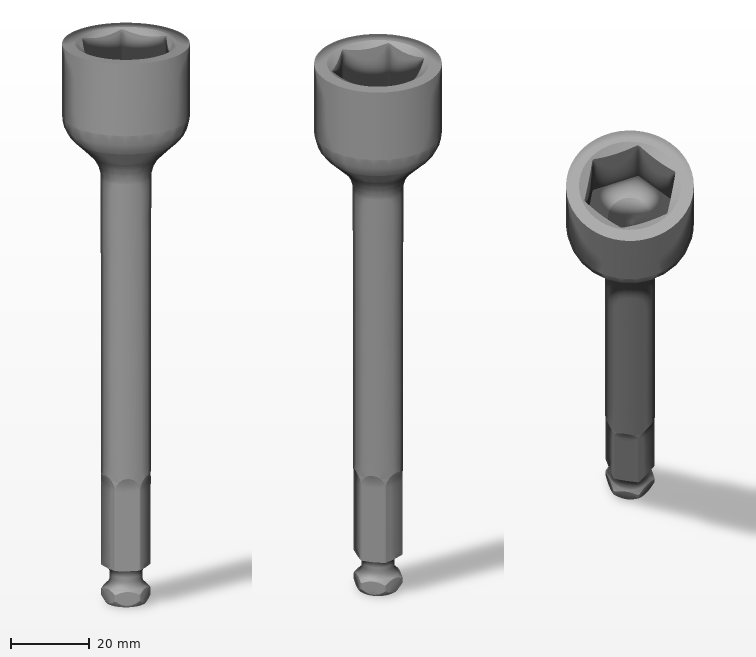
import cadquery as cq
import math

length = 150.0
head_radius = 32.5 / 2
shaft_radius = 12.9 / 2

groove_floor_bottom = 6.5
groove_floor_top = 7.8
hex_full_top = 31.4
neck_bottom = 114.3
cone_bottom = 119.8
cone_top = 124.8
head_bottom = 130.6

cone_bottom_radius = 8.7
cone_top_radius = 13.8

shank_flats = 11.1
shank_corner_radius = 12.6 / 2
groove_radius = 4.2
groove_fillet = shank_corner_radius - groove_radius
lower_fillet = 2.4
lower_fillet_turn = 60.0
tip_radius = 5.2
tip_chamfer_height = 1.6
runout_radius = 8.2

socket_flats = 21.5
socket_corner_fillet = 0.8
socket_depth = 15.9
countersink_radius = 26.0 / 2
countersink_angle = 30.0
drill_radius = 11.2 / 2
drill_point_angle = 118.0

diagonal = math.sqrt(0.5)


def fillet_midpoint(start, end, tangent_angle, turn_angle):
    """Middle of an arc leaving start at tangent_angle and turning by turn_angle (degrees)."""
    chord = math.dist(start, end)
    radius = chord / (2 * math.sin(math.radians(abs(turn_angle)) / 2))
    half_chord = 2 * radius * math.sin(math.radians(abs(turn_angle)) / 4)
    direction = math.radians(tangent_angle + turn_angle / 4)
    return (
        start[0] + half_chord * math.cos(direction),
        start[1] + half_chord * math.sin(direction),
    )


def make_body():
    """Revolved blank: chamfered tip, detent groove, shaft, flare and head."""
    cone_angle = math.degrees(
        math.atan2(cone_top - cone_bottom, cone_top_radius - cone_bottom_radius)
    )
    neck_start = (shaft_radius, neck_bottom)
    neck_end = (cone_bottom_radius, cone_bottom)
    shoulder_start = (cone_top_radius, cone_top)
    shoulder_end = (head_radius, head_bottom)
    neck_mid = fillet_midpoint(neck_start, neck_end, 90, cone_angle - 90)
    shoulder_mid = fillet_midpoint(shoulder_start, shoulder_end, cone_angle, 90 - cone_angle)

    upper_edge = (shank_corner_radius, groove_floor_top + groove_fillet)
    upper_mid = (
        groove_radius + groove_fillet * (1 - diagonal),
        groove_floor_top + groove_fillet * diagonal,
    )

    lower_turn = math.radians(lower_fillet_turn)
    lower_start = (
        groove_radius + lower_fillet * (1 - math.cos(lower_turn)),
        groove_floor_bottom - lower_fillet * math.sin(lower_turn),
    )
    lower_mid = (
        groove_radius + lower_fillet * (1 - math.cos(lower_turn / 2)),
        groove_floor_bottom - lower_fillet * math.sin(lower_turn / 2),
    )
    collar_top = lower_start[1] - (shank_corner_radius - lower_start[0])
    return (
        cq.Workplane("XZ")
        .moveTo(0, 0)
        .lineTo(tip_radius, 0)
        .lineTo(shank_corner_radius, tip_chamfer_height)
        .lineTo(shank_corner_radius, collar_top)
        .lineTo(*lower_start)
        .threePointArc(lower_mid, (groove_radius, groove_floor_bottom))
        .lineTo(groove_radius, groove_floor_top)
        .threePointArc(upper_mid, upper_edge)
        .lineTo(*neck_start)
        .threePointArc(neck_mid, neck_end)
        .lineTo(*shoulder_start)
        .threePointArc(shoulder_mid, shoulder_end)
        .lineTo(head_radius, length)
        .lineTo(0, length)
        .close()
        .revolve(360, (0, 0), (0, 1))
    )


def make_flat_cutter():
    """Cutter for one shank flat facing +Y, running out upward along an arc."""
    flat = shank_flats / 2
    runout_mid = (
        flat + runout_radius * (1 - diagonal),
        hex_full_top + runout_radius * diagonal,
    )
    runout_end = (flat + runout_radius, hex_full_top + runout_radius)
    return (
        cq.Workplane("YZ")
        .moveTo(flat, 0)
        .lineTo(flat, hex_full_top)
        .threePointArc(runout_mid, runout_end)
        .lineTo(runout_end[0], 0)
        .close()
        .extrude(head_radius, both=True)
    )


def make_corner_trim():
    """Sleeve that rounds the shank corners over the full height of the flats."""
    return (
        cq.Workplane("XY")
        .circle(head_radius)
        .circle(shank_corner_radius)
        .extrude(hex_full_top)
    )


def make_cone(radius, height, top):
    """Cone pointing down, with its base at height top."""
    return (
        cq.Workplane("XZ")
        .polyline([(0, top), (radius, top), (0, top - height)])
        .close()
        .revolve(360, (0, 0), (0, 1))
    )


def make_socket():
    """Hexagonal recess with a countersunk mouth and a drill point in its floor."""
    floor = length - socket_depth
    recess = (
        cq.Workplane("XY", origin=(0, 0, floor))
        .transformed(rotate=(0, 0, 90))
        .polygon(6, socket_flats / math.cos(math.pi / 6))
        .extrude(socket_depth)
        .edges("|Z")
        .fillet(socket_corner_fillet)
    )
    countersink_height = countersink_radius * math.tan(math.radians(countersink_angle))
    drill_height = drill_radius / math.tan(math.radians(drill_point_angle / 2))
    countersink = make_cone(countersink_radius, countersink_height, length)
    drill_point = make_cone(drill_radius, drill_height, floor)
    return recess.union(countersink).union(drill_point)


result = make_body().cut(make_corner_trim())
for index in range(6):
    result = result.cut(make_flat_cutter().rotate((0, 0, 0), (0, 0, 1), 60 * index))
result = result.cut(make_socket())